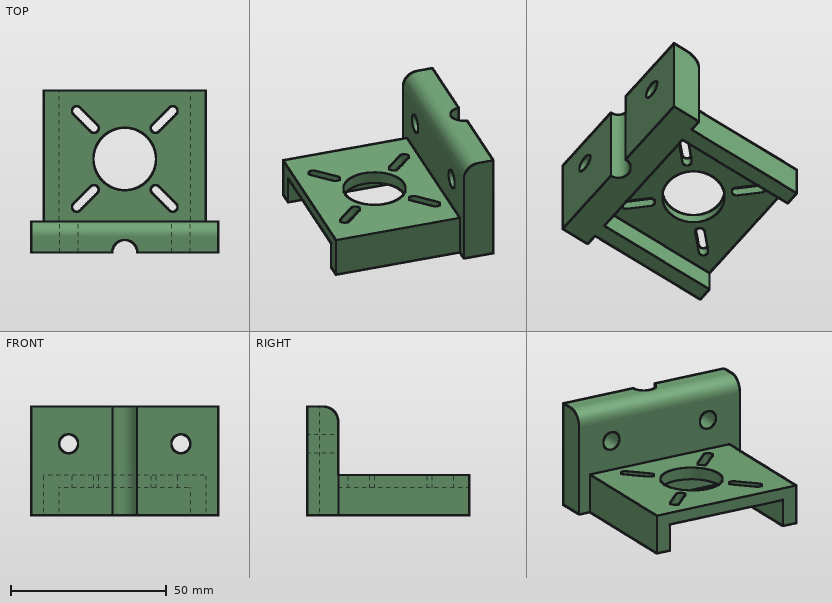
import cadquery as cq
import math

plate_width = 60
plate_thickness = 10.0
plate_height = 35.0
top_round_radius = 5.0

total_depth = 52.0
base_width = 52.0
base_thickness = 13.0
side_wall_thickness = 5.0
web_thickness = 4.0

groove_diameter = 8.0
mount_hole_diameter = 6
mount_hole_spacing = 36
mount_hole_height = 23.0

bore_diameter = 20.0
bore_y = 30
slot_width = 3
slot_inner_radius = 14.0
slot_outer_radius = 21.8
slot_count = 4
first_slot_angle = 45


def make_plate():
    """Upright plate with its rear top edge rounded."""
    plate = cq.Workplane("XY").box(
        plate_width, plate_thickness, plate_height, centered=(True, False, False)
    )
    return plate.edges(">Y and >Z").fillet(top_round_radius)


def make_base():
    """Block from the front face to the rear end."""
    return cq.Workplane("XY").box(
        base_width, total_depth, base_thickness, centered=(True, False, False)
    )


def make_channel():
    """Space under the base web, open below and at the rear, that ends at the plate."""
    channel_width = base_width - 2 * side_wall_thickness
    channel_length = total_depth - plate_thickness
    channel_depth = base_thickness - web_thickness
    return (
        cq.Workplane("XY")
        .box(channel_width, channel_length, channel_depth, centered=(True, False, False))
        .translate((0, plate_thickness, 0))
    )


def make_groove():
    """Cylinder that leaves a half-round groove in the front face."""
    return cq.Workplane("XY").circle(groove_diameter / 2).extrude(plate_height)


def make_mount_holes():
    """Pair of holes through the plate, above the base."""
    half_spacing = mount_hole_spacing / 2
    return (
        cq.Workplane("XZ")
        .pushPoints([(-half_spacing, mount_hole_height), (half_spacing, mount_hole_height)])
        .circle(mount_hole_diameter / 2)
        .extrude(-plate_thickness)
    )


def make_bore():
    """Vertical bore through the base web."""
    return cq.Workplane("XY").center(0, bore_y).circle(bore_diameter / 2).extrude(base_thickness)


def make_slot(angle):
    """Through slot lying along a radius of the bore at the given angle."""
    middle_radius = (slot_inner_radius + slot_outer_radius) / 2
    slot_length = slot_outer_radius - slot_inner_radius + slot_width
    slot_x = middle_radius * math.cos(math.radians(angle))
    slot_y = bore_y + middle_radius * math.sin(math.radians(angle))
    return (
        cq.Workplane("XY")
        .center(slot_x, slot_y)
        .slot2D(slot_length, slot_width, angle)
        .extrude(base_thickness)
    )


result = make_plate().union(make_base())
result = result.cut(make_channel()).cut(make_groove())
result = result.cut(make_mount_holes()).cut(make_bore())
for index in range(slot_count):
    result = result.cut(make_slot(first_slot_angle + index * 360 / slot_count))